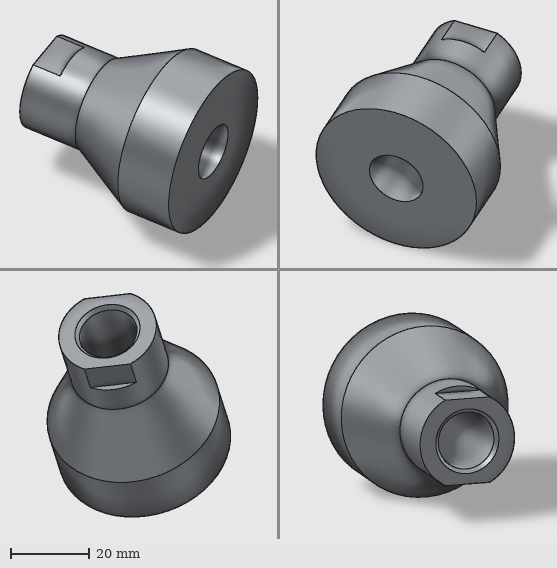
import cadquery as cq

total_length = 50.0
body_diameter = 45.0
neck_diameter = 25.5
neck_length = 16.5
cone_end = 34.9
bore_diameter = 15.0
bore_chamfer = 1.0
flat_length = 8.0
across_flats = 22.5

body_radius = body_diameter / 2
neck_radius = neck_diameter / 2
bore_radius = bore_diameter / 2


def turned_body():
    """Neck, cone and cylinder with a chamfered through bore."""
    return (
        cq.Workplane("XY")
        .moveTo(0, bore_radius + bore_chamfer)
        .lineTo(0, neck_radius)
        .lineTo(neck_length, neck_radius)
        .lineTo(cone_end, body_radius)
        .lineTo(total_length, body_radius)
        .lineTo(total_length, bore_radius)
        .lineTo(bore_chamfer, bore_radius)
        .close()
        .revolve(360, (0, 0, 0), (1, 0, 0))
    )


def flat_cutter(side):
    """Block that removes the neck above (+1) or below (-1) the flats."""
    height = neck_radius
    return cq.Workplane("XY").box(
        flat_length, neck_diameter, height, centered=(False, True, True)
    ).translate((0, 0, side * (across_flats + height) / 2))


result = turned_body()
for side in (1, -1):
    result = result.cut(flat_cutter(side))